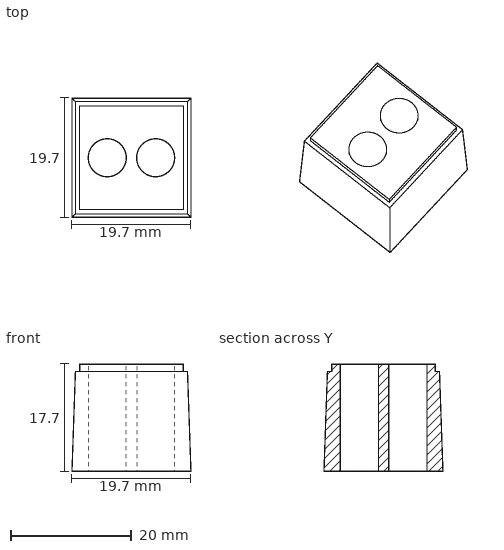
import cadquery as cq

base_side = 19.71
body_top_side = 18.57
seam_heights = [4.63, 8.63, 12.63]
body_height = 16.54

total_height = 17.7
plate_side = 17.15

hole_diameter = 6.25
hole_spacing = 8.0
hole_seam_depth = 3.27


def side_at(height):
    """Side of the tapered body's square section at the given height."""
    return base_side + (body_top_side - base_side) * height / body_height


def tapered_layer(bottom, top):
    """One layer of the body between two heights."""
    return (
        cq.Workplane("XY", origin=(0, 0, bottom))
        .rect(side_at(bottom), side_at(bottom))
        .workplane(offset=top - bottom)
        .rect(side_at(top), side_at(top))
        .loft(ruled=True)
    )


levels = [0, *seam_heights, body_height]
result = tapered_layer(levels[0], levels[1])
for bottom, top in zip(levels[1:], levels[2:]):
    result = result.union(tapered_layer(bottom, top), clean=False)

plate = (
    cq.Workplane("XY", origin=(0, 0, body_height))
    .rect(plate_side, plate_side)
    .extrude(total_height - body_height)
)
result = result.union(plate, clean=False)



def hole_pair(bottom, top):
    """Both hole cylinders between two heights."""
    return (
        cq.Workplane("XY", origin=(0, 0, bottom))
        .pushPoints([(-hole_spacing / 2, 0), (hole_spacing / 2, 0)])
        .circle(hole_diameter / 2)
        .extrude(top - bottom)
    )


hole_seam_height = total_height - hole_seam_depth
result = result.cut(hole_pair(hole_seam_height, total_height), clean=False)
result = result.cut(hole_pair(0, hole_seam_height), clean=False)